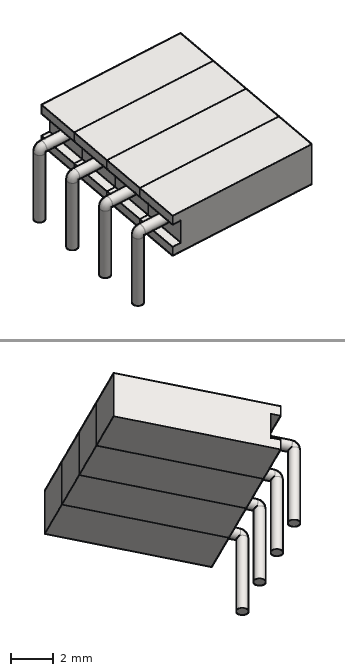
import cadquery as cq

module_count = 4
row_width = 10.16
pitch = row_width / module_count

housing_depth = 8.4
housing_height = pitch
groove_height = 1.4
groove_depth = 0.5

pin_diameter = 0.6
pin_radius = pin_diameter / 2
pin_reach = 1.4
pin_drop = 3.2
bend_radius = 0.2
bend_angle = 90

pin_axis_z = housing_height / 2
leg_axis_y = pin_radius - pin_reach
bend_axis_y = leg_axis_y + bend_radius
bend_axis_z = pin_axis_z - bend_radius


def make_housing():
    """Block with a groove across its front face, centred on X = 0."""
    block = cq.Workplane("XY").box(pitch, housing_depth, housing_height, centered=(True, False, False))
    groove = (
        cq.Workplane("XY")
        .box(pitch, groove_depth, groove_height, centered=(True, False, True))
        .translate((0, 0, housing_height / 2))
    )
    return block.cut(groove)


def make_bend():
    """Quarter turn of the part of the pin section that lies outside the bend axis."""
    half_chord = (pin_radius**2 - bend_radius**2) ** 0.5
    section = (
        cq.Workplane("XZ", origin=(0, bend_axis_y, bend_axis_z))
        .moveTo(-half_chord, 0)
        .threePointArc((0, bend_radius + pin_radius), (half_chord, 0))
        .close()
    )
    return section.revolve(bend_angle, (0, 0), (1, 0))


def make_pin():
    """Horizontal arm, rounded bend and vertical leg."""
    arm_length = groove_depth - bend_axis_y
    arm = cq.Workplane("XZ", origin=(0, groove_depth, pin_axis_z)).circle(pin_radius).extrude(arm_length)
    leg_length = bend_axis_z + pin_drop
    leg = cq.Workplane("XY", origin=(0, leg_axis_y, -pin_drop)).circle(pin_radius).extrude(leg_length)
    return arm.union(leg).union(make_bend())


def make_module(index):
    """One solid: a housing block with its pin, at its place in the row."""
    center_x = (index + 0.5) * pitch - row_width / 2
    return make_housing().union(make_pin()).translate((center_x, 0, 0))


modules = [make_module(index) for index in range(module_count)]

result = cq.Compound.makeCompound([module.val() for module in modules])